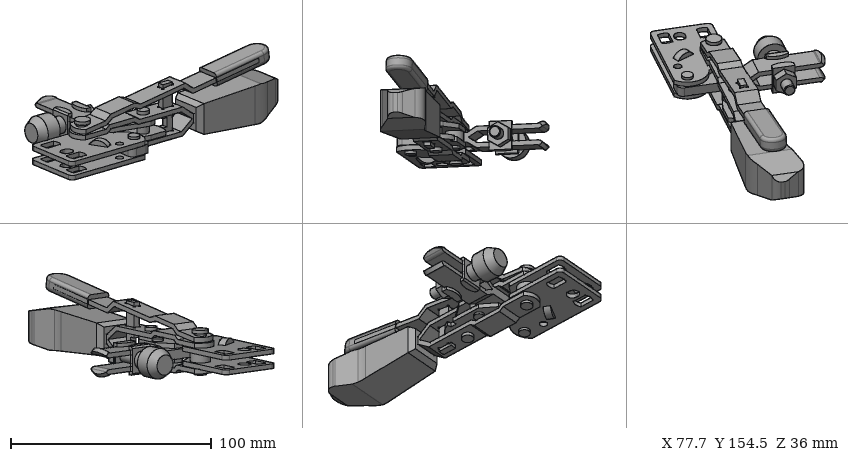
import cadquery as cq
import math


sheet = 2.5
layer_top = 2 * sheet
overlong = 46.4

base_left, base_right = -6.5, 25.6
base_shoulder = 34.3
base_corner = 2.6
crown_x, crown_y, crown_radius = 17.1, 40.5, 11.0
crown_start_x = 6.5
slot_centres_x = (-0.5, 19.6)
slot_y, slot_width, slot_length, slot_end_rise = 8.2, 5.7, 9.6, 0.8
middle_slot_x, middle_slot_width, middle_slot_length = 12.0, 5.9, 6.8
small_hole_x, small_hole_y, small_hole_radius = 20.5, 35.4, 2.0
bump_x, bump_y, bump_angle = 15.3, 26.9, 26.6
bump_length, bump_width, bump_height = 10.2, 3.9, 2.8

hinge_y = 28.3
hinge_radius, hinge_spacer_radius, hinge_head_radius = 3.1, 5.1, 4.0
hinge_bottom, hinge_head_bottom, hinge_top = -9.1, 11.9, 13.8
arm_pin_x, arm_pin_y, arm_pin_radius, arm_pin_end = 18.5, 46.4, 3.0, 6.3
link_pin_y, link_pin_radius, link_pin_end = 67.7, 3.1, 9.6
link_rivet_x, link_rivet_y, link_rivet_radius = -6.2, 54.5, 2.8
link_rivet_end = 6.2

arm_bottom, arm_top, arm_right = 39.9, 52.0, 24.7
arm_outer = 5.4
lip_x, lip_length, lip_side_length, lip_angle = -48.5, 2.6, 0.6, 45.0
arm_spread_x, arm_joined_x = -16.7, -11.9
arm_end_round = 3.1
lip_bend_radius = 0.8
arm_lug_radius = 4.6

link_left, link_low, link_foot_left, link_foot_right, link_foot = -10.8, 51.0, -5.0, 0.0, 42.6
link_round, hook_round = 6.0, 11.5
link_shoulder = 64.0
notch_bottom, notch_top, notch_x = 68.0, 71.4, -8.3
tooth_x, tooth_y = -10.5, 71.8

handle_width, handle_outer, handle_bulge = 12.4, 7.7, 9.6
handle_end, end_rise = 22.0, 3.1
bulge_start, bulge_end, bulge_run = 38.5, 60.4, 2.5
fork_start, fork_end, tang_end = 88.2, 95.2, 123.6
grip_bottom, grip_top, grip_half_depth = 95.3, 154.5, 10.5
grip_chamfer_y, grip_crest_y, grip_nose_y = 98.5, 134.4, 150.8

lever_width, lever_end, lever_end_rise = 12.2, 23.3, 2.3
lever_grip_start, lever_grip_angle = 110.0, 8.2
lever_grip_length, lever_grip_width, lever_grip_height = 37.7, 13.3, 7.4
lever_grip_round = 1.9
lever_tang_length = 27.8
lever_knee_y, lever_knee_z = 95.5, 15.9

latch_low, latch_high, latch_width = 79.1, 85.3, 3.4
latch_bottom, latch_top = -9.6, 20.4
latch_foot_y = 77.2
latch_notch_y, latch_notch_bottom, latch_notch_top = 81.7, -2.6, 2.3
relief_radius = 0.6

spindle_x = -29.4
stud_radius, collar_radius, cap_radius, cap_face_radius = 3.0, 4.5, 7.7, 5.1
cap_bottom, cap_bevel_y, cap_top = 19.6, 24.3, 32.0
collar_bottom, stud_top, stud_chamfer = 32.6, 64.6, 0.5
nut_flats, nut_height = 10.5, 4.6
hex_half_angle = 30.0
washer_width, washer_thickness, washer_half_height = 11.5, 1.4, 7.3
washer_bevel = 1.0
tab_depth, tab_rise = 1.4, 1.5


def sheet_outline(outer, thickness):
    """Close a bent-sheet profile: the outer polyline plus its mitred offset to the right."""
    normals = []
    for (u0, v0), (u1, v1) in zip(outer, outer[1:]):
        length = math.hypot(u1 - u0, v1 - v0)
        normals.append(((v1 - v0) / length, (u0 - u1) / length))
    before = normals[:1] + normals
    after = normals + normals[-1:]
    inner = []
    for (u, v), (au, av), (bu, bv) in zip(outer, before, after):
        reach = thickness / (1 + au * bu + av * bv)
        inner.append((u + reach * (au + bu), v + reach * (av + bv)))
    return outer + inner[::-1]


def cylinder(x, y, radius, z_low, z_high):
    return cq.Workplane("XY", (x, y, z_low)).circle(radius).extrude(z_high - z_low)


def slab(outline, z_low, z_high):
    """Extrude a closed XY outline between two heights."""
    return outline.extrude(z_high - z_low).translate((0, 0, z_low))


def round_ended_strip(width, end_y, rise):
    """Tall strip along Y whose lower end is an arc, used to trim bent sheets in plan."""
    half = width / 2
    outline = (
        cq.Workplane("XY")
        .moveTo(half, grip_top)
        .lineTo(half, end_y + rise)
        .threePointArc((0, end_y), (-half, end_y + rise))
        .lineTo(-half, grip_top)
        .close()
    )
    return slab(outline, -overlong, overlong)


def mirrored_pair(body):
    return body.union(body.mirror("XY"))


def pin_hole(x, y, radius):
    return cylinder(x, y, radius, -overlong, overlong)


def hinge_hole():
    return pin_hole(0, hinge_y, hinge_radius)


def arched_slot(x):
    half_width = slot_width / 2
    half_length = slot_length / 2
    side = half_length - slot_end_rise
    outline = (
        cq.Workplane("XY")
        .moveTo(x - half_width, slot_y - side)
        .threePointArc((x, slot_y - half_length), (x + half_width, slot_y - side))
        .lineTo(x + half_width, slot_y + side)
        .threePointArc((x, slot_y + half_length), (x - half_width, slot_y + side))
        .close()
    )
    return slab(outline, -overlong, overlong)


def stop_bump():
    """Arched stop standing on the outer face of a plate."""
    half = bump_length / 2
    return (
        cq.Workplane("XZ")
        .moveTo(-half, layer_top)
        .threePointArc((0, layer_top + bump_height), (half, layer_top))
        .close()
        .extrude(bump_width / 2, both=True)
        .rotate((0, 0, 0), (0, 0, 1), bump_angle)
        .translate((bump_x, bump_y, 0))
    )


def base_plate():
    crown_start_y = crown_y + math.sqrt(crown_radius**2 - (crown_start_x - crown_x) ** 2)
    crown_end_y = crown_y + math.sqrt(crown_radius**2 - (base_right - crown_x) ** 2)
    outline = (
        cq.Workplane("XY")
        .moveTo(base_left, 0)
        .lineTo(base_right, 0)
        .lineTo(base_right, crown_end_y)
        .threePointArc((crown_x, crown_y + crown_radius), (crown_start_x, crown_start_y))
        .lineTo(base_left, base_shoulder)
        .close()
    )
    plate = slab(outline, sheet, layer_top).edges("|Z and <Y").fillet(base_corner)
    for x in slot_centres_x:
        plate = plate.cut(arched_slot(x))
    middle_slot = (
        cq.Workplane("XY", (middle_slot_x, slot_y, 0))
        .slot2D(middle_slot_length, middle_slot_width, 90)
        .extrude(overlong)
    )
    plate = plate.cut(middle_slot)
    plate = plate.cut(pin_hole(small_hole_x, small_hole_y, small_hole_radius))
    return plate.union(stop_bump())


def make_base():
    return (
        mirrored_pair(base_plate())
        .union(cylinder(0, hinge_y, hinge_spacer_radius, -sheet, sheet))
        .union(cylinder(0, hinge_y, hinge_radius, hinge_bottom, hinge_top))
        .union(cylinder(0, hinge_y, hinge_head_radius, hinge_head_bottom, hinge_top))
        .union(cylinder(arm_pin_x, arm_pin_y, arm_pin_radius, -arm_pin_end, arm_pin_end))
    )


def lip_trim():
    """Half-space under the upper lip whose arched face rounds off the free end of the lip."""
    outline = (
        cq.Workplane("XY")
        .moveTo(-lip_side_length, arm_bottom)
        .threePointArc((-lip_length, (arm_bottom + arm_top) / 2), (-lip_side_length, arm_top))
        .lineTo(2 * overlong, arm_top)
        .lineTo(2 * overlong, arm_bottom)
        .close()
    )
    return (
        slab(outline, -2 * overlong, 2 * overlong)
        .rotate((0, 0, 0), (0, 1, 0), lip_angle)
        .translate((lip_x, 0, arm_outer))
    )


def make_arm():
    tilt = math.radians(lip_angle)
    bend_offset = sheet * math.tan(tilt / 2)
    arm_middle = (arm_bottom + arm_top) / 2
    outer = [
        (lip_x - lip_length * math.cos(tilt), arm_outer + lip_length * math.sin(tilt)),
        (lip_x, arm_outer),
        (arm_spread_x, arm_outer),
        (arm_joined_x, sheet),
        (arm_right, sheet),
    ]
    half = (
        cq.Workplane("XZ", (0, arm_bottom, 0))
        .polyline(sheet_outline(outer, sheet))
        .close()
        .extrude(arm_bottom - arm_top)
        .edges("|Z and >X")
        .fillet(arm_end_round)
        .edges(cq.NearestToPointSelector((lip_x, arm_middle, arm_outer)))
        .fillet(lip_bend_radius)
        .edges(cq.NearestToPointSelector((lip_x - bend_offset, arm_middle, arm_outer - sheet)))
        .fillet(lip_bend_radius + sheet)
        .intersect(lip_trim())
    )
    return (
        mirrored_pair(half)
        .union(cylinder(link_rivet_x, link_rivet_y, arm_lug_radius, -sheet, sheet))
        .cut(pin_hole(arm_pin_x, arm_pin_y, arm_pin_radius))
        .cut(pin_hole(link_rivet_x, link_rivet_y, link_rivet_radius))
    )


def link_foot_outline():
    return (
        cq.Workplane("XY")
        .moveTo(link_round, link_pin_y)
        .lineTo(link_foot_right, link_foot)
        .lineTo(link_foot_left, link_foot)
        .lineTo(link_left, link_low)
    )


def plain_link_plate():
    shoulder_angle = math.radians(140)
    shoulder_x = link_round * math.cos(shoulder_angle)
    shoulder_y = link_pin_y + link_round * math.sin(shoulder_angle)
    outline = (
        link_foot_outline()
        .lineTo(link_left, link_shoulder)
        .lineTo(shoulder_x, shoulder_y)
        .threePointArc((0, link_pin_y + link_round), (link_round, link_pin_y))
        .close()
    )
    return slab(outline, sheet, layer_top)


def hooked_link_plate():
    crest_y = link_pin_y + math.sqrt(hook_round**2 - link_round**2)
    outline = (
        link_foot_outline()
        .lineTo(link_left, notch_bottom)
        .lineTo(notch_x, notch_bottom)
        .lineTo(notch_x, notch_top)
        .lineTo(tooth_x, tooth_y)
        .threePointArc((0, link_pin_y + hook_round), (link_round, crest_y))
        .close()
    )
    return slab(outline, -layer_top, -sheet)


def make_link():
    return (
        plain_link_plate()
        .union(hooked_link_plate())
        .union(cylinder(0, link_pin_y, link_pin_radius, -link_pin_end, link_pin_end))
        .union(cylinder(link_rivet_x, link_rivet_y, link_rivet_radius, -link_rivet_end, link_rivet_end))
    )


def make_latch():
    return (
        cq.Workplane("YZ")
        .moveTo(latch_high, latch_bottom)
        .lineTo(latch_high, latch_top)
        .lineTo(latch_low, latch_top)
        .lineTo(latch_low, latch_notch_top)
        .lineTo(latch_notch_y, latch_notch_top)
        .lineTo(latch_notch_y, latch_notch_bottom)
        .lineTo(latch_low, latch_notch_bottom)
        .lineTo(latch_low, -handle_outer)
        .lineTo(latch_foot_y, -handle_outer)
        .lineTo(latch_foot_y, latch_bottom)
        .close()
        .extrude(latch_width / 2, both=True)
    )


def latch_slot():
    """Opening that fits the latch post, with relief holes at its corners."""
    centre_y = (latch_low + latch_high) / 2
    length = latch_high - latch_low
    plane = cq.Workplane("XY", (0, centre_y, -overlong))
    post = plane.rect(latch_width, length).extrude(2 * overlong)
    corners = plane.rect(latch_width, length, forConstruction=True).vertices()
    return post.union(corners.circle(relief_radius).extrude(2 * overlong))


def make_handle():
    outer = [
        (handle_end, handle_outer),
        (bulge_start, handle_outer),
        (bulge_start + bulge_run, handle_bulge),
        (bulge_end - bulge_run, handle_bulge),
        (bulge_end, handle_outer),
        (fork_start, handle_outer),
        (fork_end, sheet),
        (tang_end, sheet),
    ]
    half = (
        cq.Workplane("YZ")
        .polyline(sheet_outline(outer, sheet))
        .close()
        .extrude(handle_width, both=True)
    )
    return (
        mirrored_pair(half)
        .intersect(round_ended_strip(handle_width, handle_end, end_rise))
        .cut(hinge_hole())
        .cut(pin_hole(0, link_pin_y, link_pin_radius))
        .cut(latch_slot())
    )


def make_grip(handle):
    """Moulded handle grip: plan outline crossed with its side profile."""
    plan = (
        cq.Workplane("XY")
        .moveTo(-8.0, grip_bottom)
        .lineTo(8.2, grip_bottom)
        .lineTo(10.4, grip_chamfer_y)
        .lineTo(11.6, 130.5)
        .threePointArc((10.8, 136.6), (8.3, 141.5))
        .lineTo(3.4, 150.8)
        .threePointArc((1.1, 154.0), (-1.9, grip_top))
        .threePointArc((-3.4, 154.3), (-5.0, 153.5))
        .lineTo(-10.5, 150.6)
        .threePointArc((-13.8, 148.0), (-14.4, 144.9))
        .threePointArc((-14.4, 144.1), (-14.2, 143.5))
        .lineTo(-10.7, 131.5)
        .threePointArc((-10.4, 129.2), (-10.4, 126.5))
        .lineTo(-10.0, grip_chamfer_y)
        .close()
    )
    nose_half, tip_half, chamfer_half, end_half = 7.3, 5.0, 8.2, 6.3
    side_points = [
        (grip_bottom, end_half),
        (grip_chamfer_y, chamfer_half),
        (grip_crest_y, grip_half_depth),
        (grip_nose_y, nose_half),
        (grip_top, tip_half),
    ]
    lower_points = [(y, -z) for y, z in reversed(side_points)]
    side = (
        cq.Workplane("YZ")
        .polyline(side_points + lower_points)
        .close()
        .extrude(overlong, both=True)
    )
    return slab(plan, -overlong, overlong).intersect(side).cut(handle)


def make_lever():
    tilt = math.radians(lever_grip_angle)
    tang_y = lever_grip_start + lever_tang_length * math.cos(tilt)
    tang_z = lever_knee_z + (tang_y - lever_knee_y) * math.tan(tilt)
    outer = [
        (handle_end, 10.2),
        (38.2, 12.2),
        (41.7, 15.0),
        (57.0, 17.1),
        (61.0, 15.8),
        (90.0, 20.0),
        (lever_knee_y, lever_knee_z),
        (tang_y, tang_z),
    ]
    return (
        cq.Workplane("YZ")
        .polyline(sheet_outline(outer, sheet))
        .close()
        .extrude(lever_width, both=True)
        .intersect(round_ended_strip(lever_width, lever_end, lever_end_rise))
        .cut(hinge_hole())
        .cut(latch_slot())
    )


def make_lever_grip(lever):
    half = lever_grip_width / 2
    tilt = math.radians(lever_grip_angle)
    sheet_middle_z = (
        lever_knee_z
        + (lever_grip_start - lever_knee_y) * math.tan(tilt)
        - sheet / 2 / math.cos(tilt)
    )
    return (
        cq.Workplane("XY")
        .moveTo(-half, 0)
        .lineTo(half, 0)
        .lineTo(half, lever_grip_length - half)
        .threePointArc((0, lever_grip_length), (-half, lever_grip_length - half))
        .close()
        .extrude(lever_grip_height / 2, both=True)
        .faces(">Z or <Z")
        .edges("not <Y")
        .fillet(lever_grip_round)
        .rotate((0, 0, 0), (1, 0, 0), lever_grip_angle)
        .translate((0, lever_grip_start, sheet_middle_z))
        .cut(lever)
    )


def washer(edge_y, outward):
    """Washer on one edge of the arm; outward is +1 or -1 along Y, away from the arm."""
    half = washer_width / 2
    outside = edge_y + outward * washer_thickness
    tab_side = edge_y - outward * tab_depth
    outline = (
        cq.Workplane("XY")
        .moveTo(spindle_x - half, outside)
        .lineTo(spindle_x - half, tab_side)
        .threePointArc((spindle_x, tab_side - outward * tab_rise), (spindle_x + half, tab_side))
        .lineTo(spindle_x + half, outside)
        .close()
    )
    body = slab(outline, -washer_half_height, washer_half_height)
    arm_channel = (
        cq.Workplane("XY")
        .box(overlong, arm_top - arm_bottom, 2 * arm_outer)
        .translate((spindle_x, (arm_top + arm_bottom) / 2, 0))
    )
    return body.cut(arm_channel)


def make_spindle():
    nut_bottom = arm_top + washer_thickness
    turned = (
        cq.Workplane("XY")
        .moveTo(0, cap_bottom)
        .lineTo(cap_face_radius, cap_bottom)
        .lineTo(cap_radius, cap_bevel_y)
        .lineTo(cap_radius, cap_top)
        .lineTo(stud_radius, cap_top)
        .lineTo(stud_radius, collar_bottom)
        .lineTo(collar_radius, collar_bottom)
        .lineTo(collar_radius, arm_bottom)
        .lineTo(stud_radius, arm_bottom)
        .lineTo(stud_radius, stud_top - stud_chamfer)
        .lineTo(stud_radius - stud_chamfer, stud_top)
        .lineTo(0, stud_top)
        .close()
        .revolve(360, (0, 0, 0), (0, 1, 0))
        .translate((spindle_x, 0, 0))
    )
    nut_diameter = nut_flats / math.cos(math.radians(hex_half_angle))
    nut = (
        cq.Workplane("XZ")
        .polygon(6, nut_diameter)
        .extrude(-nut_height)
        .rotate((0, 0, 0), (0, 1, 0), hex_half_angle)
        .translate((spindle_x, nut_bottom, 0))
    )
    lower_washer = washer(arm_bottom, -1).edges("|X and <Y").chamfer(washer_bevel)
    return turned.union(nut).union(washer(arm_top, 1)).union(lower_washer)


base = make_base()
arm = make_arm()
link = make_link()
latch = make_latch()
handle = make_handle()
grip = make_grip(handle)
lever = make_lever()
lever_grip = make_lever_grip(lever)
spindle = make_spindle()

bodies = [base, arm, link, latch, handle, grip, lever, lever_grip, spindle]
result = cq.Compound.makeCompound([body.solids().val() for body in bodies])